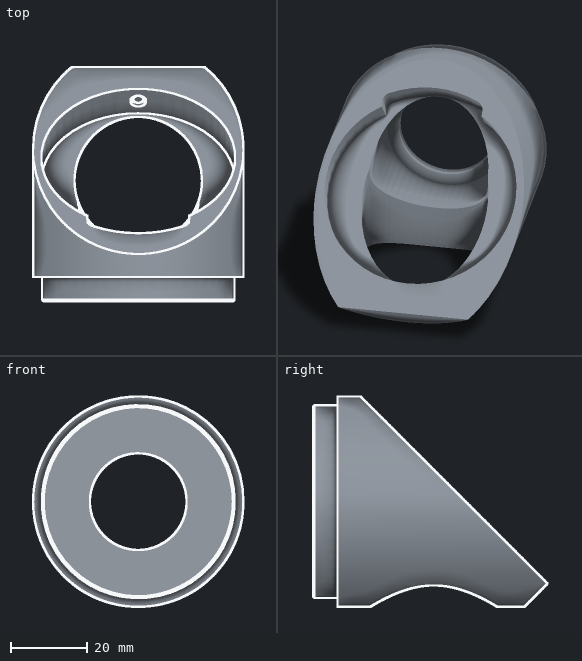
import cadquery as cq
import math


length = 61.7
body_diameter = 55.35
spigot_diameter = 50.75
spigot_length = 6.4
spigot_chamfer = 0.5
mitre_axis_y = 40.2

entry_diameter = 25.35
entry_lip = 2.45
bore_diameter = 31.7
exit_diameter = 33.45
exit_y = 31.8

seat_diameter = 51.0
seat_depth = 9.1
seat_center_y = 37.9
notch_width = 26.8
notch_reach = 28.15
notch_corner_radius = 2.45

screw_diameter = 4.1
screw_chamfer = 0.75
screw_recess = 0.6
screw_drop = seat_depth / 2

root_two = math.sqrt(2)
body_radius = body_diameter / 2
bore_radius = bore_diameter / 2
seat_radius = seat_diameter / 2
floor_axis_y = mitre_axis_y - seat_depth * root_two
bore_end_y = floor_axis_y + bore_radius
exit_top_z = floor_axis_y - (exit_y - exit_diameter / 2)
tip_z = mitre_axis_y - length
heel_y = length - (tip_z + body_radius)
mitre_top_y = mitre_axis_y - body_radius

seat_center_z = mitre_axis_y - seat_center_y
screw_end = (length - tip_z - seat_center_y + seat_center_z) / root_two

seat_plane = cq.Plane(origin=(0, seat_center_y, seat_center_z), xDir=(1, 0, 0), normal=(0, 1, 1))
screw_plane = cq.Plane(
    origin=seat_plane.toWorldCoords((0, 0, -screw_drop)).toTuple(),
    xDir=(1, 0, 0),
    normal=(0, 1, -1),
)
seat_normal_edges = cq.selectors.ParallelDirSelector(seat_plane.zDir)
notch_far_edges = cq.selectors.DirectionMinMaxSelector(seat_plane.yDir, directionMax=False)
screw_point_face = cq.selectors.DirectionMinMaxSelector(screw_plane.zDir, directionMax=False)


def y_cylinder(diameter, start, end):
    """Cylinder on the housing axis between two Y positions."""
    plane = cq.Plane(origin=(0, start, 0), xDir=(1, 0, 0), normal=(0, 1, 0))
    return cq.Workplane(plane).circle(diameter / 2).extrude(end - start)


def make_exterior():
    """Round body mitred at 45 degrees, with a squared-off tip and a chamfered spigot."""
    side_profile = (
        cq.Workplane("YZ")
        .moveTo(spigot_length, -body_radius)
        .lineTo(heel_y, -body_radius)
        .lineTo(length, tip_z)
        .lineTo(mitre_top_y, body_radius)
        .lineTo(spigot_length, body_radius)
        .close()
        .extrude(body_radius, both=True)
    )
    body = y_cylinder(body_diameter, spigot_length, length).intersect(side_profile)
    spigot = y_cylinder(spigot_diameter, 0, spigot_length).faces("<Y").chamfer(spigot_chamfer)
    return body.union(spigot)


def make_light_path():
    """Entry hole and wider bore along Y, and an exit hole from the seat floor down through the body."""
    entry = y_cylinder(entry_diameter, 0, entry_lip)
    bore = y_cylinder(bore_diameter, entry_lip, bore_end_y)
    exit_hole = (
        cq.Workplane("XY", origin=(0, exit_y, -body_radius))
        .circle(exit_diameter / 2)
        .extrude(body_radius + exit_top_z)
    )
    return entry.union(bore).union(exit_hole)


def make_seat():
    """Round mirror pocket with a round-cornered notch through its upper wall."""
    pocket = cq.Workplane(seat_plane).circle(seat_radius).extrude(-seat_depth)
    half_width = notch_width / 2
    corner_y = -math.sqrt(notch_reach**2 - half_width**2)
    notch = (
        cq.Workplane(seat_plane)
        .moveTo(-half_width, 0)
        .lineTo(-half_width, corner_y)
        .threePointArc((0, -notch_reach), (half_width, corner_y))
        .lineTo(half_width, 0)
        .close()
        .extrude(-seat_depth)
        .edges(seat_normal_edges)
        .edges(notch_far_edges)
        .fillet(notch_corner_radius)
    )
    return pocket.union(notch)


def make_housing():
    screw_hole = cq.Workplane(screw_plane).circle(screw_diameter / 2).extrude(screw_end)
    return make_exterior().cut(make_light_path()).cut(make_seat()).cut(screw_hole)


def make_set_screw():
    """Chamfered flat-point screw, flush with the squared-off tip."""
    point = seat_radius + screw_recess
    return (
        cq.Workplane(screw_plane)
        .workplane(offset=point)
        .circle(screw_diameter / 2)
        .extrude(screw_end - point)
        .faces(screw_point_face)
        .chamfer(screw_chamfer)
    )


housing = make_housing()
set_screw = make_set_screw()
result = cq.Compound.makeCompound([housing.solids().val(), set_screw.val()])